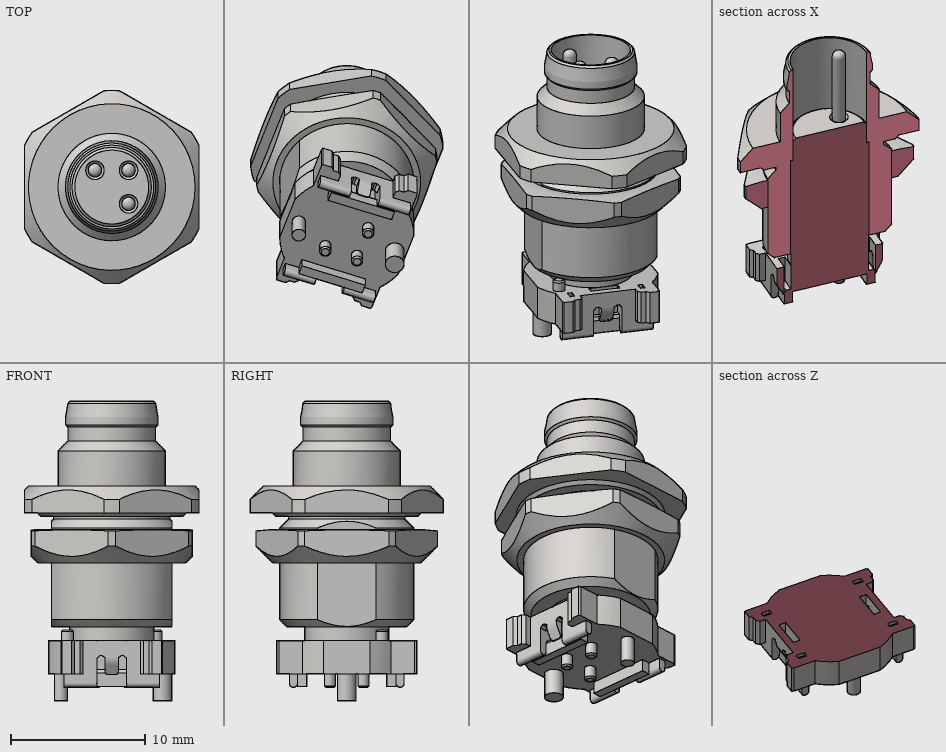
import cadquery as cq
import math


RIM_TOP = 22.3
HEX_TOP = 16.0
HEX_BOTTOM = 14.0
HOUSING_BOTTOM = 5.5
NUT_TOP = 12.75
NUT_BOTTOM = 10.25
SOCKET_FLOOR = HEX_TOP
CARRIER_TOP = 4.48
CARRIER_BOTTOM = 2.0
LEG_BOTTOM = 1.0

SOCKET_BORE_RADIUS = 2.95
RIM_CHAMFER = 0.15
COLLAR_RADIUS = 3.45
COLLAR_TOP = 21.1
COLLAR_BOTTOM = 20.55
NECK_RADIUS = 3.27
NECK_BOTTOM = 19.34
BARREL_RADIUS = 4.0
HEX_WIDTH = 13.0
HEX_CORNER_RADIUS = 7.2
HEX_CHAMFER = 1.0
SEAL_FACE_RADIUS = 5.56
SEAL_FACE_CHAMFER = 0.27
RELIEF_RADIUS = 4.35
RELIEF_BOTTOM = 13.52
THREAD_RADIUS = 5.0
THREAD_FLAT_WIDTH = 9.0
THREAD_END_CHAMFER = 0.54

NUT_WIDTH = 12.0
NUT_CORNER_RADIUS = 6.77
NUT_BOTTOM_FACE_RADIUS = 5.5
NUT_TOP_FACE_RADIUS = 5.66
NUT_TOP_CHAMFER_HEIGHT = 0.1

INSERT_RADIUS = 3.14
INSERT_SHOULDER = HEX_BOTTOM
INSERT_EDGE_CHAMFER = 0.2
CONTACT_OFFSET = 1.25
CONTACT_POSITIONS = [
    (-CONTACT_OFFSET, CONTACT_OFFSET),
    (CONTACT_OFFSET, CONTACT_OFFSET),
    (CONTACT_OFFSET, -CONTACT_OFFSET),
]
CONTACT_RADIUS = 0.5
CONTACT_TOP = 21.97
CONTACT_TIP_RADIUS = 0.4
CONTACT_DIMPLE_RADIUS = 0.69
TAIL_BOTTOM = LEG_BOTTOM
TAIL_RADIUS = 0.42
TAIL_CHAMFER = 0.12

CARRIER_SIDE_RADIUS = 5.0
CARRIER_WIDTH = 9.38
CORNER_BLOCK_X = 3.77
CORNER_BLOCK_Y = 5.22
CORNER_BEVEL_X = 0.07
CORNER_BEVEL_Y = 0.18
STEP_OUTER_X = 3.0
STEP_INNER_X = 2.77
STEP_Y = 4.98
SHOULDER_X = 2.38
RECESS_X = 2.15
RECESS_SHOULDER_Y = 4.75
WALL_Y = 4.27
LEG_HALF_LENGTH = 3.55
RAIL_HALF_LENGTH = 2.5
LEG_THICKNESS = 0.6
LEG_STRAIGHT_BOTTOM = 1.32
RAIL_INNER_Y = 2.96
RAIL_BOTTOM = 1.05

WINDOW_HALF_WIDTH = 1.11
WINDOW_TOP = 3.36
WINDOW_BEVEL = 0.22
TONGUE_HALF_WIDTH = 0.5
TONGUE_TOP = 3.22
TONGUE_BEND_BOTTOM = 2.66
TONGUE_SLOPE = math.radians(30)
TONGUE_BOTTOM = 1.95
TONGUE_CORNER = 0.15
LEDGE_TOP = 2.32
LEDGE_BEVEL_HEIGHT = 0.26
SLOT_OUTER_Y = WALL_Y - LEG_THICKNESS
LEDGE_BEVEL_DEPTH = 0.12

POCKET_CENTER = (2.75, 3.86)
POCKET_SIZE = (0.34, 0.67)
POCKET_DEPTH = 0.5
PEG_POSITIONS = [(-3.3, -2.63), (3.3, 2.63)]
PEG_RADIUS = 0.45
PEG_TOP = 5.28
PEG_CHAMFER = 0.12
POST_X = 3.78
POST_RADII = {-POST_X: 0.5, POST_X: 0.7}


def turned(points):
    """Solid of revolution about Z from (radius, z) points."""
    return cq.Workplane("XZ").polyline(points).close().revolve(360, (0, 0, 0), (0, 1, 0))


def cylinder(x, y, bottom, top, radius):
    return cq.Workplane("XY", origin=(x, y, bottom)).circle(radius).extrude(top - bottom)


def block(x_min, x_max, y_min, y_max, z_min, z_max):
    size = (x_max - x_min, y_max - y_min, z_max - z_min)
    return cq.Workplane("XY").box(*size, centered=False).translate((x_min, y_min, z_min))


def hexagon(width, bottom, top):
    """Hexagonal prism with two flats facing +X and -X."""
    across_corners = width / math.cos(math.pi / 6)
    prism = cq.Workplane("XY", origin=(0, 0, bottom)).polygon(6, across_corners).extrude(top - bottom)
    return prism.rotate((0, 0, 0), (0, 0, 1), 30)


def make_housing():
    collar_step = COLLAR_RADIUS - NECK_RADIUS
    barrel_top = NECK_BOTTOM - (BARREL_RADIUS - NECK_RADIUS)
    front = turned([
        (0, HEX_TOP),
        (BARREL_RADIUS, HEX_TOP),
        (BARREL_RADIUS, barrel_top),
        (NECK_RADIUS, NECK_BOTTOM),
        (NECK_RADIUS, COLLAR_BOTTOM - collar_step),
        (COLLAR_RADIUS, COLLAR_BOTTOM),
        (COLLAR_RADIUS, COLLAR_TOP),
        (NECK_RADIUS, RIM_TOP - RIM_CHAMFER),
        (NECK_RADIUS - RIM_CHAMFER, RIM_TOP),
        (0, RIM_TOP),
    ])

    hex_envelope = turned([
        (0, HEX_BOTTOM),
        (HEX_CORNER_RADIUS, HEX_BOTTOM),
        (HEX_CORNER_RADIUS, HEX_TOP - HEX_CHAMFER),
        (HEX_CORNER_RADIUS - HEX_CHAMFER, HEX_TOP),
        (0, HEX_TOP),
    ])
    hex_flange = hexagon(HEX_WIDTH, HEX_BOTTOM, HEX_TOP).intersect(hex_envelope)

    seal_face_bottom = HEX_BOTTOM - SEAL_FACE_CHAMFER
    seal_and_relief = turned([
        (0, RELIEF_BOTTOM),
        (RELIEF_RADIUS, RELIEF_BOTTOM),
        (RELIEF_RADIUS, seal_face_bottom),
        (SEAL_FACE_RADIUS - SEAL_FACE_CHAMFER, seal_face_bottom),
        (SEAL_FACE_RADIUS, HEX_BOTTOM),
        (0, HEX_BOTTOM),
    ])

    thread = turned([
        (0, HOUSING_BOTTOM),
        (THREAD_RADIUS - THREAD_END_CHAMFER, HOUSING_BOTTOM),
        (THREAD_RADIUS, HOUSING_BOTTOM + THREAD_END_CHAMFER),
        (THREAD_RADIUS, RELIEF_BOTTOM - (THREAD_RADIUS - RELIEF_RADIUS)),
        (RELIEF_RADIUS, RELIEF_BOTTOM),
        (0, RELIEF_BOTTOM),
    ])
    half_flat = THREAD_FLAT_WIDTH / 2
    flat_sides = block(
        -half_flat, half_flat, -THREAD_RADIUS, THREAD_RADIUS, HOUSING_BOTTOM, RELIEF_BOTTOM
    )
    thread = thread.intersect(flat_sides)

    bore = turned([
        (0, HOUSING_BOTTOM),
        (INSERT_RADIUS, HOUSING_BOTTOM),
        (INSERT_RADIUS, INSERT_SHOULDER),
        (SOCKET_BORE_RADIUS, INSERT_SHOULDER),
        (SOCKET_BORE_RADIUS, RIM_TOP),
        (0, RIM_TOP),
    ])
    return front.union(hex_flange).union(seal_and_relief).union(thread).cut(bore)


def make_nut():
    bottom_chamfer = NUT_CORNER_RADIUS - NUT_BOTTOM_FACE_RADIUS
    envelope = turned([
        (0, NUT_BOTTOM),
        (NUT_BOTTOM_FACE_RADIUS, NUT_BOTTOM),
        (NUT_CORNER_RADIUS, NUT_BOTTOM + bottom_chamfer),
        (NUT_CORNER_RADIUS, NUT_TOP - NUT_TOP_CHAMFER_HEIGHT),
        (NUT_TOP_FACE_RADIUS, NUT_TOP),
        (0, NUT_TOP),
    ])
    bore = cylinder(0, 0, NUT_BOTTOM, NUT_TOP, THREAD_RADIUS)
    return hexagon(NUT_WIDTH, NUT_BOTTOM, NUT_TOP).intersect(envelope).cut(bore)


def make_insert_core():
    """Round insulator filling the housing bore, down to the carrier."""
    edge = INSERT_EDGE_CHAMFER
    core = turned([
        (0, CARRIER_BOTTOM),
        (INSERT_RADIUS, CARRIER_BOTTOM),
        (INSERT_RADIUS, INSERT_SHOULDER),
        (SOCKET_BORE_RADIUS, INSERT_SHOULDER),
        (SOCKET_BORE_RADIUS, SOCKET_FLOOR - edge),
        (SOCKET_BORE_RADIUS - edge, SOCKET_FLOOR),
        (0, SOCKET_FLOOR),
    ])
    dimple_bottom = SOCKET_FLOOR - (CONTACT_DIMPLE_RADIUS - CONTACT_RADIUS)
    dimple = turned([
        (0, dimple_bottom),
        (CONTACT_RADIUS, dimple_bottom),
        (CONTACT_DIMPLE_RADIUS, SOCKET_FLOOR),
        (0, SOCKET_FLOOR),
    ])
    for x, y in CONTACT_POSITIONS:
        core = core.cut(dimple.translate((x, y, 0)))
    return core


def make_contact(x, y):
    """Contact pin with a rounded tip and a thinner solder tail."""
    pin = cylinder(x, y, CARRIER_TOP, CONTACT_TOP, CONTACT_RADIUS)
    pin = pin.faces(">Z").edges().fillet(CONTACT_TIP_RADIUS)
    tail = cylinder(x, y, TAIL_BOTTOM, CARRIER_TOP, TAIL_RADIUS).faces("<Z").chamfer(TAIL_CHAMFER)
    return pin.union(tail)


def make_carrier_plate():
    """Plate with round-sided flanks and stepped corner blocks, symmetric about X and Y."""
    height = CARRIER_TOP - CARRIER_BOTTOM
    half_width = CARRIER_WIDTH / 2
    plane = cq.Workplane("XY", origin=(0, 0, CARRIER_BOTTOM))
    flanks = plane.circle(CARRIER_SIDE_RADIUS).extrude(height).intersect(
        block(-half_width, half_width, -WALL_Y, WALL_Y, CARRIER_BOTTOM, CARRIER_TOP)
    )
    quarter_outline = [
        (0, 0),
        (CORNER_BLOCK_X, 0),
        (CORNER_BLOCK_X, CORNER_BLOCK_Y - CORNER_BEVEL_Y),
        (CORNER_BLOCK_X - CORNER_BEVEL_X, CORNER_BLOCK_Y),
        (STEP_OUTER_X, CORNER_BLOCK_Y),
        (STEP_INNER_X, STEP_Y),
        (SHOULDER_X, STEP_Y),
        (RECESS_X, RECESS_SHOULDER_Y),
        (RECESS_X, WALL_Y),
        (0, WALL_Y),
    ]
    quarter = plane.polyline(quarter_outline).close().extrude(height)
    half = quarter.union(quarter.mirror("YZ"))
    return flanks.union(half).union(half.mirror("XZ"))


def make_leg():
    """Foot wall under the -Y edge: a round-bottomed outer rib and a square inner rail."""
    inner_y = -WALL_Y + LEG_THICKNESS
    rib = (
        cq.Workplane("YZ", origin=(-LEG_HALF_LENGTH, 0, 0))
        .moveTo(-WALL_Y, CARRIER_TOP)
        .lineTo(-WALL_Y, LEG_STRAIGHT_BOTTOM)
        .threePointArc((-WALL_Y + LEG_THICKNESS / 2, LEG_BOTTOM), (inner_y, LEG_STRAIGHT_BOTTOM))
        .lineTo(inner_y, CARRIER_TOP)
        .close()
        .extrude(2 * LEG_HALF_LENGTH)
    )
    rail = block(
        -RAIL_HALF_LENGTH, RAIL_HALF_LENGTH, inner_y, -RAIL_INNER_Y, RAIL_BOTTOM, CARRIER_BOTTOM
    )
    return rib.union(rail)


def make_latch_opening():
    """Window through the -Y wall, the slot behind it and the sloped ledge between them."""
    half = [
        (WINDOW_HALF_WIDTH, 0),
        (WINDOW_HALF_WIDTH, WINDOW_TOP - WINDOW_BEVEL),
        (WINDOW_HALF_WIDTH - WINDOW_BEVEL, WINDOW_TOP),
        (TONGUE_HALF_WIDTH + WINDOW_BEVEL, WINDOW_TOP),
        (TONGUE_HALF_WIDTH, TONGUE_TOP),
    ]
    mirrored_half = [(-x, z) for x, z in reversed(half)]
    window = (
        cq.Workplane("XZ", origin=(0, -SLOT_OUTER_Y, 0))
        .polyline(half + mirrored_half)
        .close()
        .extrude(CORNER_BLOCK_Y - SLOT_OUTER_Y)
    )
    slot = block(
        -WINDOW_HALF_WIDTH, WINDOW_HALF_WIDTH, -SLOT_OUTER_Y, -INSERT_RADIUS, LEDGE_TOP, CARRIER_TOP
    )
    ledge_bevel = (
        cq.Workplane("YZ", origin=(-WINDOW_HALF_WIDTH, 0, 0))
        .moveTo(-SLOT_OUTER_Y, LEDGE_TOP)
        .lineTo(-SLOT_OUTER_Y, LEDGE_TOP - LEDGE_BEVEL_HEIGHT)
        .lineTo(-SLOT_OUTER_Y + LEDGE_BEVEL_DEPTH, LEDGE_TOP)
        .close()
        .extrude(2 * WINDOW_HALF_WIDTH)
    )
    return window.union(slot).union(ledge_bevel)


def make_tongue():
    """Latch tongue in the -Y window: flush at the top, then curving inward to a sloped face."""
    bend_height = TONGUE_TOP - TONGUE_BEND_BOTTOM
    bend_radius = bend_height / math.sin(TONGUE_SLOPE)

    def bend_point(angle):
        y = -WALL_Y + bend_radius * (1 - math.cos(angle))
        return (y, TONGUE_TOP - bend_radius * math.sin(angle))

    bend_end = bend_point(TONGUE_SLOPE)
    slope_run = (TONGUE_BEND_BOTTOM - TONGUE_BOTTOM) * math.tan(TONGUE_SLOPE)
    profile = (
        cq.Workplane("YZ", origin=(-TONGUE_HALF_WIDTH, 0, 0))
        .moveTo(-SLOT_OUTER_Y, TONGUE_TOP)
        .lineTo(-WALL_Y, TONGUE_TOP)
        .threePointArc(bend_point(TONGUE_SLOPE / 2), bend_end)
        .lineTo(bend_end[0] + slope_run, TONGUE_BOTTOM)
        .lineTo(-SLOT_OUTER_Y, TONGUE_BOTTOM)
        .close()
        .extrude(2 * TONGUE_HALF_WIDTH)
    )
    corner_z = TONGUE_BOTTOM + TONGUE_CORNER
    half = [
        (TONGUE_HALF_WIDTH - TONGUE_CORNER, TONGUE_BOTTOM),
        (TONGUE_HALF_WIDTH, corner_z),
        (TONGUE_HALF_WIDTH, TONGUE_TOP),
    ]
    mirrored_half = [(-x, z) for x, z in reversed(half)]
    face_shape = cq.Workplane("XZ").polyline(half + mirrored_half).close().extrude(CORNER_BLOCK_Y)
    return profile.intersect(face_shape)


def make_contact_carrier():
    carrier = make_carrier_plate()
    leg = make_leg()
    carrier = carrier.union(leg).union(leg.mirror("XZ"))
    opening = make_latch_opening()
    carrier = carrier.cut(opening).cut(opening.mirror("XZ"))
    tongue = make_tongue()
    carrier = carrier.union(tongue).union(tongue.mirror("XZ"))

    pocket_x, pocket_y = POCKET_CENTER
    pockets = (
        cq.Workplane("XY", origin=(0, 0, CARRIER_TOP))
        .rect(2 * pocket_x, 2 * pocket_y, forConstruction=True)
        .vertices()
        .rect(*POCKET_SIZE)
        .extrude(-POCKET_DEPTH)
    )
    carrier = carrier.cut(pockets).union(make_insert_core())

    for x, y in CONTACT_POSITIONS:
        carrier = carrier.union(make_contact(x, y))
    for x, y in PEG_POSITIONS:
        peg = cylinder(x, y, CARRIER_BOTTOM, PEG_TOP, PEG_RADIUS).faces(">Z").chamfer(PEG_CHAMFER)
        carrier = carrier.union(peg)
    for x, radius in POST_RADII.items():
        carrier = carrier.union(cylinder(x, 0, 0, CARRIER_TOP, radius))
    return carrier


housing = make_housing()
nut = make_nut()
contact_carrier = make_contact_carrier()

result = cq.Compound.makeCompound([
    housing.solids().val(),
    nut.solids().val(),
    contact_carrier.solids().val(),
])